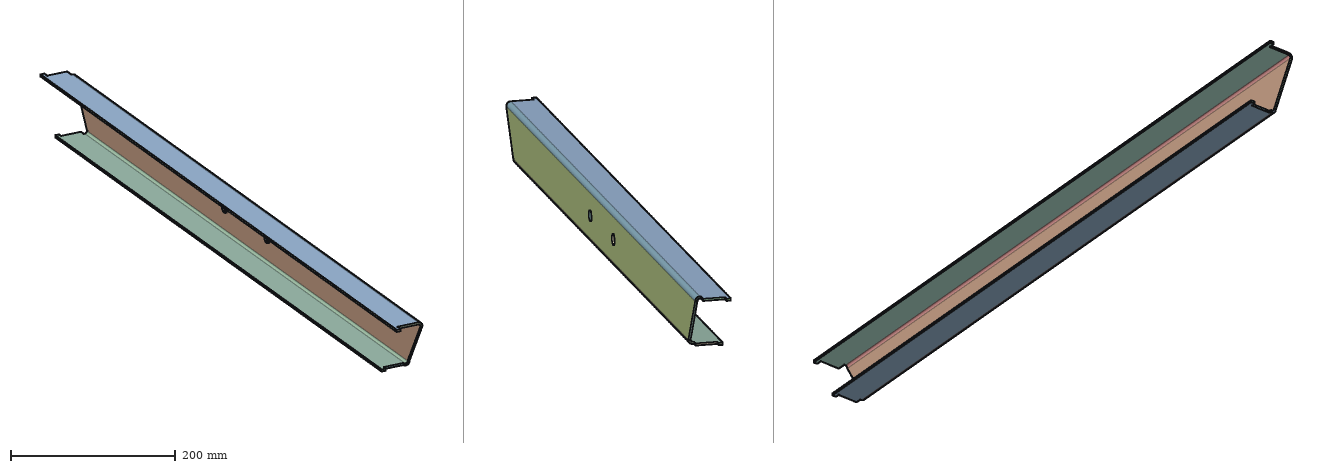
import cadquery as cq

length = 913.0
depth = 40.0
height = 69.0
thickness = 3.0
bend_radius = 3.0
outer_radius = bend_radius + thickness

lip_depth = 5.5
flat_depth = depth - 7.0
upper_lip_insets = (0.0, 0.0)
upper_flange_insets = (7.0, 8.0)
upper_web_insets = (18.0, 8.0)
lower_lip_insets = (37.0, 38.0)
lower_flange_insets = (43.0, 44.0)
lower_web_insets = (50.0, 41.0)

hole_diameter = 14.0
hole_spacing = 109.0

front = -depth / 2
back = depth / 2
flat_back = front + flat_depth
top = height / 2


def box_between(insets, y_range, z_range):
    """Box spanning the given end insets and the Y and Z ranges."""
    start = -length / 2 + insets[0]
    end = length / 2 - insets[1]
    size = (end - start, y_range[1] - y_range[0], z_range[1] - z_range[0])
    return cq.Workplane("XY").box(*size, centered=False).translate((start, y_range[0], z_range[0]))


def make_channel():
    """Full-length C section with rounded bends."""
    outer = cq.Workplane("XY").box(length, depth, height).edges("|X and >Y").fillet(outer_radius)
    inner = (
        cq.Workplane("XY")
        .box(length, depth, height - 2 * thickness)
        .edges("|X and >Y")
        .fillet(bend_radius)
        .translate((0, -thickness, 0))
    )
    return outer.cut(inner)


def flange_envelope(lip_insets, flange_insets, z_range):
    """Flange outline with a longer lip along the open edge."""
    lip = box_between(lip_insets, (front, front + lip_depth), z_range)
    flange = box_between(flange_insets, (front, flat_back), z_range)
    return lip.union(flange)


def web_envelope():
    """Slanted web outline with square ends across both bends."""
    bend_line = top - outer_radius
    upper_left = -length / 2 + upper_web_insets[0]
    upper_right = length / 2 - upper_web_insets[1]
    lower_left = -length / 2 + lower_web_insets[0]
    lower_right = length / 2 - lower_web_insets[1]
    outline = [
        (lower_left, -top),
        (lower_right, -top),
        (lower_right, -bend_line),
        (upper_right, bend_line),
        (upper_right, top),
        (upper_left, top),
        (upper_left, bend_line),
        (lower_left, -bend_line),
    ]
    return cq.Workplane("XZ", origin=(0, back, 0)).polyline(outline).close().extrude(depth)


def web_holes():
    """Two round holes through the web, along Y."""
    return (
        cq.Workplane("XZ", origin=(0, back, 0))
        .pushPoints([(-hole_spacing / 2, 0), (hole_spacing / 2, 0)])
        .circle(hole_diameter / 2)
        .extrude(depth)
    )


envelope = (
    web_envelope()
    .intersect(box_between((0, 0), (flat_back, back), (-top, top)))
    .union(flange_envelope(upper_lip_insets, upper_flange_insets, (top - thickness, top)))
    .union(flange_envelope(lower_lip_insets, lower_flange_insets, (-top, -top + thickness)))
)
result = make_channel().intersect(envelope).cut(web_holes())